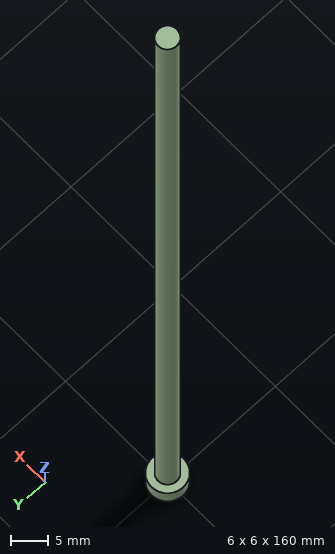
import cadquery as cq

total_length = 160.0
head_diameter = 6.0
head_height = 3.0
shank_diameter = 3.5


def make_head():
    """Flat disc whose underside lies on Z = 0."""
    return cq.Workplane("XY").circle(head_diameter / 2).extrude(head_height)


def make_shank():
    """Round bar running from the underside of the head to the tip."""
    return cq.Workplane("XY").circle(shank_diameter / 2).extrude(total_length)


result = make_head().union(make_shank())